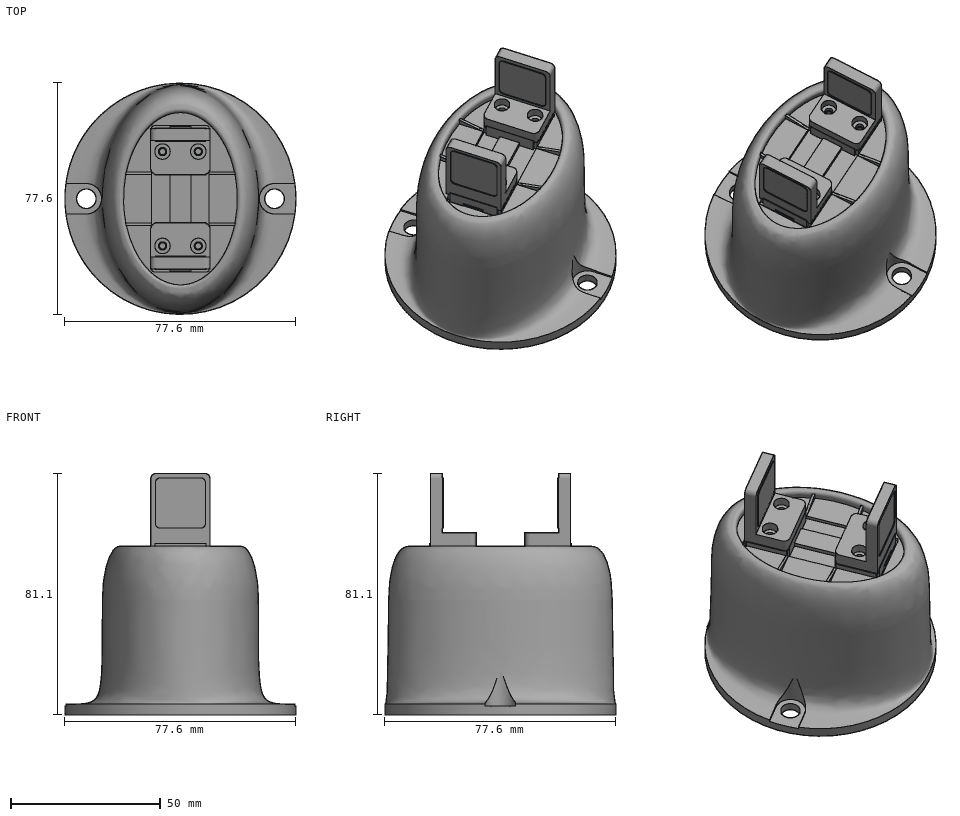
import cadquery as cq
import math

flange_top = 3.7
body_split = 38.6
rim_top = 56.7
jaw_top = 81.1

flange_radius = 38.8
split_x, split_y = 26.2, 37.55
rim_x, rim_y = 20.3, 30.1
section_count = 9
flare_descent = 3
flare_sharpness = 3.5
shoulder_fullness = 0.8
skirt_seam_angle = 90
dome_seam_angle = 180

mount_offset = 31.55
mount_hole_radius = 3.25
seat_radius = 5.1
seat_level = 3.1

well_inset = 1.2
well_edge_radius = 1.05
well_floor = 54.1

channel_half_width = 9.65
channel_half_length = 24.5
channel_corner_radius = 0.8
channel_floor = 52.9
rail_half_width = 3.6
rail_half_length = 24.2
rail_top = 54.3

gusset_thickness = 0.9
gusset_top = 56.3

jaw_half_width = 10.0
jaw_thickness = 4.05
jaw_inner, jaw_outer = 8.1, 23.5
jaw_bottom = 56.4
foot_top = 61.2
jaw_top_radius = 1.9
foot_corner_radius = 2.1
block_setback = 0.65
tab_half_width = 8.5
tab_outer_projection = 0.25
tab_inner_projection = 0.1
tab_top = 57.6

pad_size = 16.9
pad_top_margin = 1.55
pad_relief = 0.3
pad_corner_radius = 1.7

screw_x, screw_y = 6.0, 15.8
screw_head_radius = 2.6
screw_head_depth = 3.25
screw_hole_radius = 1.4
thread_radius = 1.05


def oval(half_x, half_y, level, start_angle):
    """Ellipse with its long axis along Y; start_angle (from +Y) places the seam."""
    return cq.Wire.makeEllipse(
        half_y, half_x, cq.Vector(0, 0, level), cq.Vector(0, 0, 1), cq.Vector(0, 1, 0),
        angle1=start_angle, angle2=start_angle + 360,
    )


def loft_through(ovals):
    """Smooth solid through the ovals, spaced evenly along the surface parameter."""
    return cq.Workplane(obj=cq.occ_impl.shapes.loft(ovals, cap=True, parametrization="uniform"))


def make_skirt():
    """Flare from the flange circle up to the split oval."""
    wires = []
    for i in range(section_count):
        t = i / (section_count - 1)
        half_x = flange_radius - (flange_radius - split_x) * (1 - t**flare_sharpness)
        half_y = flange_radius - (flange_radius - split_y) * (1 - t)
        level = flange_top + (body_split - flange_top) * (1 - t)**flare_descent
        wires.append(oval(half_x, half_y, level, skirt_seam_angle))
    return loft_through(wires)


def make_dome():
    """Shoulder curving like a quarter ellipse from the split oval to the rim."""
    wires = []
    for i in range(section_count):
        angle = math.pi / 2 * i / (section_count - 1)
        half_x = rim_x + (split_x - rim_x) * math.cos(angle)
        half_y = rim_y + (split_y - rim_y) * math.cos(angle) ** shoulder_fullness
        level = body_split + (rim_top - body_split) * math.sin(angle)
        wires.append(oval(half_x, half_y, level, dome_seam_angle))
    return loft_through(wires)


def block_between(x0, x1, y0, y1, z0, z1):
    return cq.Workplane("XY").box(x1 - x0, y1 - y0, z1 - z0, centered=False).translate((x0, y0, z0))


def cylinder(x, y, z0, z1, radius):
    return cq.Workplane("XY", origin=(x, y, z0)).circle(radius).extrude(z1 - z0)


def well_oval(depth_from_rim):
    """Cutter for the well, inset from the rim."""
    return (
        cq.Workplane("XY", origin=(0, 0, rim_top))
        .ellipse(rim_x - well_inset, rim_y - well_inset)
        .extrude(-depth_from_rim)
    )


def cut_mount(body, side):
    """Flat-bottomed seat, open to the flange edge, with a through hole."""
    x = side * mount_offset
    seat = cylinder(x, 0, seat_level, body_split, seat_radius)
    x_near, x_far = sorted((x, side * (flange_radius + seat_radius)))
    seat = seat.union(block_between(x_near, x_far, -seat_radius, seat_radius, seat_level, body_split))
    return body.cut(seat).cut(cylinder(x, 0, 0, flange_top, mount_hole_radius))


def make_gusset(side_x, side_y):
    """Triangular web rising from the channel edge to the well wall."""
    wall_x = rim_x - well_inset
    y_start = jaw_inner if side_y > 0 else -jaw_inner - gusset_thickness
    return (
        cq.Workplane("XZ", origin=(0, y_start, 0))
        .moveTo(side_x * channel_half_width, well_floor)
        .lineTo(side_x * wall_x, well_floor)
        .lineTo(side_x * wall_x, gusset_top)
        .close()
        .extrude(-gusset_thickness)
    )


def make_housing():
    """Flange, skirt and dome with the mounts, well, slide channel, rail and gussets."""
    body = cylinder(0, 0, 0, flange_top, flange_radius).union(make_skirt()).union(make_dome())
    for side in (-1, 1):
        body = cut_mount(body, side)

    body = body.cut(well_oval(rim_top - well_floor))
    box_x = rim_x - well_inset / 2
    well_edge = cq.selectors.BoxSelector(
        (-box_x, -rim_y, rim_top - well_inset), (box_x, rim_y, rim_top + well_inset), boundingbox=True
    )
    body = body.edges(well_edge).fillet(well_edge_radius)

    channel = block_between(
        -channel_half_width, channel_half_width, -channel_half_length, channel_half_length,
        channel_floor, well_floor,
    ).edges("|Z").fillet(channel_corner_radius)
    body = body.cut(channel)
    body = body.union(block_between(
        -rail_half_width, rail_half_width, -rail_half_length, rail_half_length, channel_floor, rail_top
    ))
    for side_x in (-1, 1):
        for side_y in (-1, 1):
            body = body.union(make_gusset(side_x, side_y))
    return body


def make_jaw():
    """Jaw on the +Y side, with its sliding block."""
    foot = block_between(
        -jaw_half_width, jaw_half_width, jaw_inner, jaw_outer, jaw_bottom, foot_top
    ).edges("|Z and <Y").fillet(foot_corner_radius)
    plate = block_between(
        -jaw_half_width, jaw_half_width, jaw_outer - jaw_thickness, jaw_outer, jaw_bottom, jaw_top
    ).edges("|Y and >Z").fillet(jaw_top_radius)
    block = block_between(
        -channel_half_width, channel_half_width, jaw_inner + block_setback, jaw_outer - block_setback,
        channel_floor, jaw_bottom,
    )
    tab = block_between(
        -tab_half_width, tab_half_width, jaw_inner - tab_inner_projection, jaw_outer + tab_outer_projection,
        channel_floor, tab_top,
    )
    jaw = foot.union(plate).union(block).union(tab)

    pad_z1 = jaw_top - pad_top_margin
    pad = block_between(
        -pad_size / 2, pad_size / 2, 0, pad_relief, pad_z1 - pad_size, pad_z1
    ).edges("|Y").fillet(pad_corner_radius)
    jaw = jaw.union(pad.translate((0, jaw_outer - jaw_thickness - pad_relief, 0)))
    jaw = jaw.cut(pad.translate((0, jaw_outer - pad_relief, 0)))

    for x in (-screw_x, screw_x):
        jaw = jaw.cut(cylinder(x, screw_y, foot_top - screw_head_depth, foot_top, screw_head_radius))
        jaw = jaw.cut(cylinder(x, screw_y, jaw_bottom, foot_top, screw_hole_radius))
        jaw = jaw.cut(cylinder(x, screw_y, channel_floor, jaw_bottom, thread_radius))
    return jaw


jaw = make_jaw()
result = make_housing().union(jaw).union(jaw.mirror("XZ"))